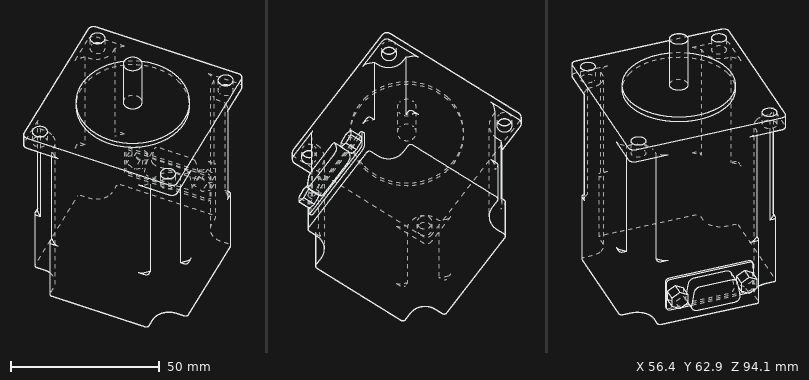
import cadquery as cq
import math

total_height = 94.1
pilot_top = 75.4
flange_top = 73.5
flange_thickness = 4.9
flange_bottom = flange_top - flange_thickness
bevel_bottom = 25.6

width = 56.4
half_width = width / 2

flange_corner_radius = 2.0
bolt_spacing = 47.1
bolt_hole_diameter = 5.0
pilot_diameter = 38.1
shaft_diameter = 6.3

channel_size = 10.0
channel_root_radius = 6.0
channel_lip_radius = 1.0

bevel_size = 12.3
bevel_blend_radius = 2.5

connector_height = 12.0
plate_width = 31.3
plate_height = 12.4
plate_thickness = 0.9
plate_corner_radius = 1.4
shell_base_width = 18.3
shell_height = 9.4
shell_slant = 10
shell_corner_radius = 2.1
shell_reach = 6.5
nut_across_flats = 5.7
nut_spacing = 24.9
nut_reach = 5.3


def square_block(bottom, top):
    return cq.Workplane("XY").workplane(offset=bottom).rect(width, width).extrude(top - bottom)


def cylinder(diameter, bottom, top):
    return cq.Workplane("XY").workplane(offset=bottom).circle(diameter / 2).extrude(top - bottom)


def make_body():
    channels = (
        cq.Workplane("XY")
        .rect(width, width, forConstruction=True).vertices()
        .rect(2 * channel_size, 2 * channel_size)
        .extrude(flange_bottom)
        .edges("|Z").fillet(channel_root_radius)
    )
    channeled = square_block(0, flange_bottom).cut(channels)
    channeled = channeled.edges("(>X or <X or >Y or <Y) and |Z").fillet(channel_lip_radius)

    beveled_envelope = (
        square_block(bevel_bottom, flange_bottom)
        .edges("|Z").chamfer(bevel_size)
        .edges("|Z").fillet(bevel_blend_radius)
    )
    envelope = square_block(0, bevel_bottom).union(beveled_envelope)
    return channeled.intersect(envelope)


def make_flange():
    return (
        square_block(flange_bottom, flange_top)
        .edges("|Z").fillet(flange_corner_radius)
        .faces(">Z").workplane()
        .rect(bolt_spacing, bolt_spacing, forConstruction=True).vertices()
        .hole(bolt_hole_diameter)
    )


def make_connector():
    side = cq.Workplane(
        cq.Plane(origin=(0, half_width, connector_height), xDir=(-1, 0, 0), normal=(0, 1, 0))
    )
    plate = (
        side.rect(plate_width, plate_height).extrude(plate_thickness)
        .edges("|Y").fillet(plate_corner_radius)
    )

    half_base = shell_base_width / 2
    half_top = half_base - shell_height * math.tan(math.radians(shell_slant))
    half_height = shell_height / 2
    shell = (
        side.polyline([
            (-half_base, -half_height),
            (half_base, -half_height),
            (half_top, half_height),
            (-half_top, half_height),
        ])
        .close().extrude(shell_reach)
        .edges("|Y").fillet(shell_corner_radius)
    )

    across_corners = nut_across_flats / math.cos(math.pi / 6)
    nut = (
        side.polygon(6, across_corners).extrude(nut_reach)
        .rotate((0, 0, connector_height), (0, 1, connector_height), 90)
    )
    connector = plate.union(shell)
    for x in (-nut_spacing / 2, nut_spacing / 2):
        connector = connector.union(nut.translate((x, 0, 0)))
    return connector


pilot = cylinder(pilot_diameter, flange_top, pilot_top)
shaft = cylinder(shaft_diameter, pilot_top, total_height)

result = make_body().union(make_flange()).union(pilot).union(shaft).union(make_connector())